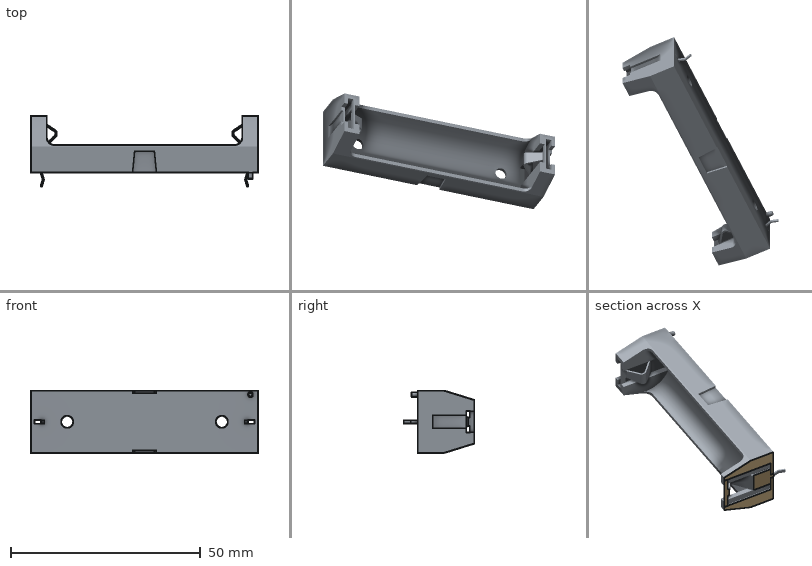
import cadquery as cq
import math

LENGTH = 60.0
WIDTH = 16.5
HEIGHT = 15.0
TOP_WIDTH = 11.5
TAPER_START = 6.95
END_WALL = 4.25
RIM_HEIGHT = 7.3
RIM_FILLET = 2.0
CELL_RADIUS = 7.2
FLOOR = 0.85

MOUNT_HOLE_DIAMETER = 3.1
MOUNT_HOLE_FROM_END = 9.6

SIDE_RECESS_DEPTH = 0.7
SIDE_RECESS_HEIGHT = 5.65
SIDE_RECESS_BASE_WIDTH = 6.3
SIDE_RECESS_TOP_WIDTH = 5.2

PEG_DIAMETER = 1.3
PEG_LENGTH = 1.7
PEG_CHAMFER = 0.2
PEG_FROM_END = 2.05
PEG_FROM_SIDE = 1.1

OUTER_SKIN = 1.0
POCKET_WIDTH = 9.0
OPENING_WIDTH = 5.65
NOTCH_DEPTH = 2.15
FACE_RECESS_DEPTH = 0.55
FACE_RECESS_WIDTH = 3.4
FACE_RECESS_BOTTOM = 3.95
RUN_OUT_HEIGHT = 1.8

SHEET = 0.39
PLATE_X = 2.75
CROSSBAR_HEIGHT = 1.25
SPRING_TOP_WIDTH = 2.35
SPRING_BASE_WIDTH = 5.3
TAIL_WIDTH = 0.9
UPPER_BEND_Y = 13.45
SPRING_TIP_X = 7.25
SPRING_TIP_Y = 10.45
LOWER_BEND_Y = 5.95
TIP_INNER_RADIUS = 0.8
TAIL_BEND_Y = -0.05
TAIL_KINK_X = 3.3
TAIL_KINK_Y = -1.8
TAIL_END_Y = -3.65

MID_X = LENGTH / 2
MID_Z = WIDTH / 2


def block(x0, x1, y0, y1, width):
    """Box between two X and two Y values, centred across the width."""
    corner = (x0, y0, MID_Z - width / 2)
    return cq.Workplane("XY").box(x1 - x0, y1 - y0, width, centered=False).translate(corner)


def mirror_to_far_end(body):
    return body.mirror("YZ", (MID_X, 0, 0))


def housing_shell():
    """Long block with leaning sides, cut down to the rim between the end walls."""
    inset = (WIDTH - TOP_WIDTH) / 2
    shell = (
        cq.Workplane("YZ")
        .polyline([
            (0, 0), (TAPER_START, 0), (HEIGHT, inset),
            (HEIGHT, WIDTH - inset), (TAPER_START, WIDTH), (0, WIDTH),
        ])
        .close()
        .extrude(LENGTH)
    )
    opening = (
        block(END_WALL, LENGTH - END_WALL, RIM_HEIGHT, HEIGHT, WIDTH)
        .edges("|Z and <Y")
        .fillet(RIM_FILLET)
    )
    return shell.cut(opening)


def cell_trough():
    """Round bed of the cell, open at the top."""
    axis_y = FLOOR + CELL_RADIUS
    bed = (
        cq.Workplane("YZ", origin=(END_WALL, axis_y, MID_Z))
        .circle(CELL_RADIUS)
        .extrude(LENGTH - 2 * END_WALL)
    )
    return bed.union(block(END_WALL, LENGTH - END_WALL, axis_y, HEIGHT, 2 * CELL_RADIUS))


def mount_holes():
    spacing = LENGTH - 2 * MOUNT_HOLE_FROM_END
    return (
        cq.Workplane("XZ", origin=(MID_X, 0, MID_Z))
        .rarray(spacing, 0.6, 2, 1)
        .circle(MOUNT_HOLE_DIAMETER / 2)
        .extrude(-HEIGHT)
    )


def side_recesses():
    """Tapered recess in the middle of each long side, open at the base."""
    base = SIDE_RECESS_BASE_WIDTH / 2
    top = SIDE_RECESS_TOP_WIDTH / 2
    recess = (
        cq.Workplane("XY")
        .polyline([
            (MID_X - base, 0), (MID_X + base, 0),
            (MID_X + top, SIDE_RECESS_HEIGHT), (MID_X - top, SIDE_RECESS_HEIGHT),
        ])
        .close()
        .extrude(SIDE_RECESS_DEPTH)
    )
    return recess.union(recess.translate((0, 0, WIDTH - SIDE_RECESS_DEPTH)))


def polarity_peg():
    return (
        cq.Workplane("XZ", origin=(LENGTH - PEG_FROM_END, 0, WIDTH - PEG_FROM_SIDE))
        .circle(PEG_DIAMETER / 2)
        .extrude(PEG_LENGTH)
        .faces("<Y")
        .chamfer(PEG_CHAMFER)
    )


def face_recess():
    """Shallow recess in the outer end face that curves out to the face at its bottom."""
    notch_y = HEIGHT - NOTCH_DEPTH
    arc_top_y = FACE_RECESS_BOTTOM + RUN_OUT_HEIGHT
    arc_radius = (RUN_OUT_HEIGHT**2 + FACE_RECESS_DEPTH**2) / (2 * FACE_RECESS_DEPTH)
    half_turn = math.asin(RUN_OUT_HEIGHT / arc_radius) / 2
    arc_middle = (
        FACE_RECESS_DEPTH - arc_radius * (1 - math.cos(half_turn)),
        arc_top_y - arc_radius * math.sin(half_turn),
    )
    return (
        cq.Workplane("XY", origin=(0, 0, MID_Z - FACE_RECESS_WIDTH / 2))
        .moveTo(0, notch_y)
        .lineTo(FACE_RECESS_DEPTH, notch_y)
        .lineTo(FACE_RECESS_DEPTH, arc_top_y)
        .threePointArc(arc_middle, (0, FACE_RECESS_BOTTOM))
        .close()
        .extrude(FACE_RECESS_WIDTH)
    )


def contact_seat():
    """Everything cut from the first end wall: pocket, openings, tail slot and face recess."""
    pocket_end = PLATE_X + SHEET / 2
    pocket = block(OUTER_SKIN, pocket_end, FLOOR, HEIGHT, POCKET_WIDTH)
    opening = block(pocket_end, END_WALL, FLOOR, HEIGHT, OPENING_WIDTH)
    notch = block(0, OUTER_SKIN, HEIGHT - NOTCH_DEPTH, HEIGHT, OPENING_WIDTH)
    tail_slot = block(OUTER_SKIN, pocket_end, 0, FLOOR, TAIL_WIDTH)
    return pocket.union(opening).union(notch).union(tail_slot).union(face_recess())


def make_housing():
    seat = contact_seat()
    return (
        housing_shell()
        .cut(cell_trough())
        .cut(mount_holes())
        .cut(side_recesses())
        .cut(seat)
        .cut(mirror_to_far_end(seat))
        .union(polarity_peg())
    )


def shifted_side(path, offset):
    """Points of a path moved sideways by offset, with mitred corners and square ends."""
    normals = []
    for (x0, y0), (x1, y1) in zip(path, path[1:]):
        run = math.hypot(x1 - x0, y1 - y0)
        normals.append(((y0 - y1) / run, (x1 - x0) / run))
    before = [normals[0]] + normals
    after = normals + [normals[-1]]
    side = []
    for (x, y), (ax, ay), (bx, by) in zip(path, before, after):
        reach = offset / (1 + ax * bx + ay * by)
        side.append((x + reach * (ax + bx), y + reach * (ay + by)))
    return side


def strip(path, width):
    """Sheet metal strip that follows a path in the XY plane."""
    outline = shifted_side(path, SHEET / 2) + shifted_side(path, -SHEET / 2)[::-1]
    return (
        cq.Workplane("XY", origin=(0, 0, MID_Z - width / 2))
        .polyline(outline)
        .close()
        .extrude(width)
    )


def spring_side_outline():
    """Prism along X whose section is the spring's width, narrowing towards the upper bend."""
    top = SPRING_TOP_WIDTH / 2
    base = SPRING_BASE_WIDTH / 2
    return (
        cq.Workplane("YZ", origin=(0, 0, MID_Z))
        .polyline([
            (FLOOR, -base), (LOWER_BEND_Y, -base), (UPPER_BEND_Y, -top), (HEIGHT, -top),
            (HEIGHT, top), (UPPER_BEND_Y, top), (LOWER_BEND_Y, base), (FLOOR, base),
        ])
        .close()
        .extrude(SPRING_TIP_X)
    )


def spring_arms():
    """Bowed spring that presses on the cell, with a rounded tip."""
    arms = strip(
        [(PLATE_X, HEIGHT), (PLATE_X, UPPER_BEND_Y), (SPRING_TIP_X, SPRING_TIP_Y),
         (PLATE_X, LOWER_BEND_Y), (PLATE_X, FLOOR)],
        SPRING_BASE_WIDTH,
    )
    arms = arms.edges("|Z and >X").fillet(TIP_INNER_RADIUS + SHEET)
    inner_tip = cq.selectors.NearestToPointSelector((SPRING_TIP_X - SHEET, SPRING_TIP_Y, MID_Z))
    arms = arms.edges("|Z").edges(inner_tip).fillet(TIP_INNER_RADIUS)
    return arms.intersect(spring_side_outline())


def make_contact():
    """Crossbar that fills the pocket, the sprung arms, and a kinked tail below the base."""
    crossbar = block(
        PLATE_X - SHEET / 2, PLATE_X + SHEET / 2, HEIGHT - CROSSBAR_HEIGHT, HEIGHT, POCKET_WIDTH
    )
    tail = strip(
        [(PLATE_X, FLOOR), (PLATE_X, TAIL_BEND_Y), (TAIL_KINK_X, TAIL_KINK_Y), (PLATE_X, TAIL_END_Y)],
        TAIL_WIDTH,
    )
    return spring_arms().union(crossbar).union(tail)


housing = make_housing()
near_contact = make_contact()
contacts = [near_contact, mirror_to_far_end(near_contact)]

result = cq.Compound.makeCompound([
    housing.solids().val(),
    *[contact.solids().val() for contact in contacts],
])